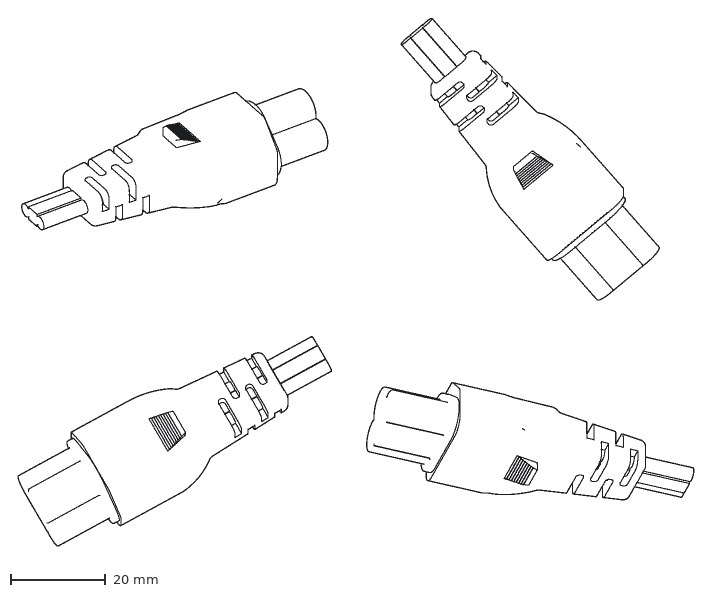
import cadquery as cq
import math


contact_end = 34.45
collar_front = 21.8
body_front = 20.3
hump_end = 8.05
step_end = 6.7
side_arc_start = 6.35
neck_root = -3.45
neck_end = -23.35
cable_end = -34.45

body_width = 21.4
body_half_width = body_width / 2
body_height = 16.05
body_half_height = body_height / 2
shoulder_z = 2.2
crown_half_width = 5.65
side_arc_radius = 15.4
belly_radius = 3.3
step_half_height = 6.8
neck_end_half_height = 3.9
neck_end_half_width = 6.35
edge_radius = 1.6

side_lobe_x = 5.0
side_lobe_z = -2.1
side_lobe_radius = 3.65
upper_lobe = (0, 2.0, 4.15)
left_lobe = (-side_lobe_x, side_lobe_z, side_lobe_radius)
right_lobe = (side_lobe_x, side_lobe_z, side_lobe_radius)
collar_margin = 1.45
connector_edge_radius = 0.2

core_radius = 1.5
core_spacing = 5.6
web_width = 3.4
web_thickness = 3.2

slot_width = 1.65
slot_corner_radius = 0.75
slot_pitch = 3.3
first_slot_y = -10.35
slot_count = 4
slot_reach = 0.75

tab_front = 5.2
tab_back = 0.1
tab_front_half_width = 4.1
tab_back_half_width = 2.7
tab_height = 8.2
tab_sink = 4.8
tooth_count = 8
tooth_pitch = 0.495
tooth_drop = 0.17
tab_edge_radius = 0.2
tooth_start_z = 6.7


def prism_along_y(sketch, y_front, y_back):
    """Extrude an XZ sketch towards -Y."""
    plane = cq.Workplane("XZ", origin=(0, y_front, 0))
    return sketch(plane).extrude(y_front - y_back)


def cross_section(plane):
    """Body outline in XZ: sloping shoulders above, large rounds below."""
    w, h = body_half_width, body_half_height
    arc_inset = belly_radius * (1 - math.sqrt(0.5))
    return (
        plane.moveTo(-crown_half_width, h)
        .lineTo(crown_half_width, h)
        .lineTo(w, shoulder_z)
        .lineTo(w, belly_radius - h)
        .threePointArc((w - arc_inset, arc_inset - h), (w - belly_radius, -h))
        .lineTo(belly_radius - w, -h)
        .threePointArc((arc_inset - w, arc_inset - h), (-w, belly_radius - h))
        .lineTo(-w, shoulder_z)
        .close()
    )


def side_arc_point(y):
    """Point (x, y) on the arc that is tangent to the flat +X side."""
    dy = side_arc_start - y
    return (body_half_width - side_arc_radius + math.sqrt(side_arc_radius**2 - dy**2), y)


def plan_prism():
    """Outline seen along Z: parallel sides, inward arcs, tapering neck."""
    root = side_arc_point(neck_root)
    mid = side_arc_point((side_arc_start + neck_root) / 2)
    return (
        cq.Workplane("XY", origin=(0, 0, -body_half_height))
        .moveTo(body_half_width, body_front)
        .lineTo(body_half_width, side_arc_start)
        .threePointArc(mid, root)
        .lineTo(neck_end_half_width, neck_end)
        .lineTo(-neck_end_half_width, neck_end)
        .lineTo(-root[0], root[1])
        .threePointArc((-mid[0], mid[1]), (-body_half_width, side_arc_start))
        .lineTo(-body_half_width, body_front)
        .close()
        .extrude(body_height)
    )


def side_prism():
    """Outline seen along X: full-height body, step, tapering neck."""
    upper = [
        (body_front, body_half_height),
        (hump_end, body_half_height),
        (step_end, step_half_height),
        (neck_end, neck_end_half_height),
    ]
    lower = [(y, -z) for y, z in reversed(upper)]
    return cq.Workplane("YZ").polyline(upper + lower).close().extrude(body_half_width, both=True)


def moulding():
    """Body and neck: the common volume of three prisms, then rounded."""
    body = prism_along_y(cross_section, body_front, neck_end)
    sharp = body.intersect(plan_prism()).intersect(side_prism())
    return sharp.edges("not >Y").fillet(edge_radius)


def strain_relief_slot(y, side):
    """Slot open to one side (-1 or +1 in X), from mid-height up, with rounded inner corners."""
    length = slot_reach + body_half_width
    middle = side * (length / 2 - slot_reach)
    slot = (
        cq.Workplane("XY", origin=(middle, y, 0))
        .rect(length, slot_width)
        .extrude(body_half_height)
    )
    inner_corners = "<X" if side > 0 else ">X"
    return slot.faces(inner_corners).edges("|Z").fillet(slot_corner_radius)


def grip_tab():
    """Upper tab: tapered in plan, with a saw-toothed ramp rising towards the cable."""
    teeth_length = tooth_count * tooth_pitch
    ramp_rise = (tab_height - tooth_start_z) / teeth_length
    profile = [(tab_front, tab_sink), (tab_front, tooth_start_z)]
    for i in range(1, tooth_count + 1):
        y = tab_front - i * tooth_pitch
        peak = tooth_start_z + ramp_rise * i * tooth_pitch
        profile += [(y, peak), (y, peak - tooth_drop)]
    profile += [(tab_back, tab_height), (tab_back, tab_sink)]
    ramp = cq.Workplane("YZ").polyline(profile).close().extrude(tab_front_half_width, both=True)
    taper = (
        cq.Workplane("XY")
        .polyline([
            (-tab_front_half_width, tab_front),
            (tab_front_half_width, tab_front),
            (tab_back_half_width, tab_back),
            (-tab_back_half_width, tab_back),
        ])
        .close()
        .extrude(tab_height)
    )
    return ramp.intersect(taper).faces("<Y").edges("not <Z").fillet(tab_edge_radius)


def tangent_bridge(circle_a, circle_b, margin):
    """XZ corners of the quadrilateral spanning two circles between their outer tangents."""
    (xa, za, ra), (xb, zb, rb) = circle_a, circle_b
    distance = math.hypot(xb - xa, zb - za)
    heading = math.atan2(zb - za, xb - xa)
    spread = math.acos((ra - rb) / distance)

    def touch(x, z, r, angle):
        return (x + (r + margin) * math.cos(angle), z + (r + margin) * math.sin(angle))

    return [
        touch(xa, za, ra, heading + spread),
        touch(xb, zb, rb, heading + spread),
        touch(xb, zb, rb, heading - spread),
        touch(xa, za, ra, heading - spread),
    ]


def lobes(margin, y_front, y_back):
    """Three round lobes joined at the centre and closed flat between the lower two."""
    upper_x, upper_z, upper_radius = upper_lobe
    floor_z = side_lobe_z - side_lobe_radius - margin
    walls = [
        (upper_x - upper_radius, upper_z),
        (upper_x + upper_radius, upper_z),
        (upper_x + upper_radius, floor_z),
        (upper_x - upper_radius, floor_z),
    ]
    block = prism_along_y(lambda p: p.polyline(walls).close(), y_front, y_back)
    for x, z, radius in (upper_lobe, left_lobe, right_lobe):
        lobe = prism_along_y(lambda p: p.center(x, z).circle(radius + margin), y_front, y_back)
        block = block.union(lobe)
    return block


def collar():
    """Plate around the lobes, its outline closed by straight tangents."""
    plate = lobes(collar_margin, collar_front, body_front)
    for first, second in ((upper_lobe, left_lobe), (upper_lobe, right_lobe), (left_lobe, right_lobe)):
        corners = tangent_bridge(first, second, collar_margin)
        plate = plate.union(prism_along_y(lambda p: p.polyline(corners).close(), collar_front, body_front))
    return plate


def connector():
    """Contact block on its collar, with a small round at its end, its root and the collar rim."""
    contacts = lobes(0, contact_end, body_front).faces(">Y").edges().fillet(connector_edge_radius)
    block = collar().union(contacts)
    collar_face = block.faces("|Y").faces(">Y[-2]")
    return collar_face.edges().fillet(connector_edge_radius)


def cable():
    """Twin-core cable with a flat web, running on inside the neck."""
    y_front = hump_end
    web = prism_along_y(lambda p: p.rect(web_width, web_thickness), y_front, cable_end)
    for x in (-core_spacing / 2, core_spacing / 2):
        web = web.union(prism_along_y(lambda p: p.center(x, 0).circle(core_radius), y_front, cable_end))
    return web


plug = moulding()
for i in range(slot_count):
    side = -1 if i % 2 == 0 else 1
    slot_y = first_slot_y - i * slot_pitch
    plug = plug.cut(strain_relief_slot(slot_y, side))
    plug = plug.cut(strain_relief_slot(slot_y, -side).mirror("XY"))

upper_tab = grip_tab()
result = (
    plug.union(upper_tab)
    .union(upper_tab.mirror("XY"))
    .union(connector())
    .union(cable())
)